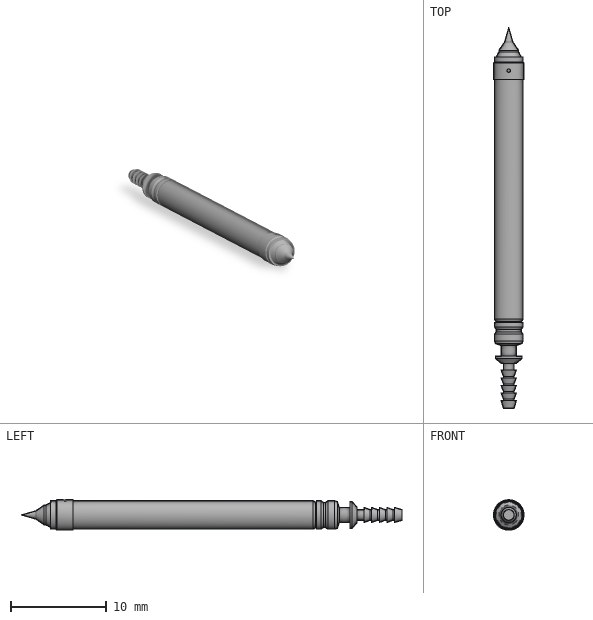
import cadquery as cq


length = 40.0
tip_y = length / 2
tail_y = -length / 2

needle_radius = 0.45
needle_end_y = 18.5
cone_radius = 1.05
cone_end_y = 17.6
land_length = 0.15
shoulder_radius = 1.3
body_front_y = 16.9

collar_radius = 1.6
collar_step = 0.1
body_radius = collar_radius - collar_step
collar_front_y = 16.3
collar_back_y = 14.55

dimple_y = 15.5
dimple_diameter = 0.35
dimple_depth = 0.2

narrow_groove_front_y = -10.65
narrow_groove_back_y = -11.0
narrow_groove_radius = 1.35
narrow_groove_floor = 0.1
wide_groove_front_y = -11.5
wide_groove_back_y = -12.2
wide_groove_radius = 1.3
wide_groove_slope = 0.25
rear_taper_y = -12.9
rear_taper_length = 0.3
rear_taper_radius = 1.4
body_back_y = -13.4

stem_radius = 0.8
flange_radius = 1.4
flange_front_y = -14.5
flange_rim_length = 0.25
flange_back_y = -15.3
neck_radius = 0.55

barb_count = 5
barb_radius = 0.8
barb_front_y = -16.0
barb_pitch = 0.8
barb_length = 0.65


def turned(outline):
    """Revolve a closed (radius, y) outline about the Y axis."""
    return outline.close().revolve(360, (0, 0, 0), (0, 1, 0))


def make_point_and_body():
    outline = (
        cq.Workplane("XY")
        .moveTo(0, tip_y)
        .lineTo(needle_radius, needle_end_y)
        .lineTo(cone_radius, cone_end_y)
        .lineTo(cone_radius, cone_end_y - land_length)
        .lineTo(shoulder_radius, body_front_y)
        .lineTo(body_radius, body_front_y)
        .lineTo(body_radius, collar_front_y + collar_step)
        .lineTo(collar_radius, collar_front_y)
        .lineTo(collar_radius, collar_back_y)
        .lineTo(body_radius, collar_back_y)
        .lineTo(body_radius, narrow_groove_front_y)
        .lineTo(narrow_groove_radius, narrow_groove_back_y + narrow_groove_floor)
        .lineTo(narrow_groove_radius, narrow_groove_back_y)
        .lineTo(body_radius, narrow_groove_back_y)
        .lineTo(body_radius, wide_groove_front_y)
        .lineTo(wide_groove_radius, wide_groove_front_y - wide_groove_slope)
        .lineTo(wide_groove_radius, wide_groove_back_y + wide_groove_slope)
        .lineTo(body_radius, wide_groove_back_y)
        .lineTo(body_radius, rear_taper_y)
        .lineTo(rear_taper_radius, rear_taper_y - rear_taper_length)
        .lineTo(stem_radius, body_back_y)
        .lineTo(0, body_back_y)
    )
    return turned(outline)


def make_stem_and_flange():
    outline = (
        cq.Workplane("XY")
        .moveTo(0, body_back_y)
        .lineTo(stem_radius, body_back_y)
        .lineTo(stem_radius, flange_front_y)
        .lineTo(flange_radius, flange_front_y)
        .lineTo(flange_radius, flange_front_y - flange_rim_length)
        .lineTo(stem_radius, flange_back_y)
        .lineTo(neck_radius, flange_back_y)
        .lineTo(neck_radius, tail_y)
        .lineTo(0, tail_y)
    )
    return turned(outline)


def make_barb(front_y, back_y):
    outline = (
        cq.Workplane("XY")
        .moveTo(0, front_y)
        .lineTo(barb_radius, front_y)
        .lineTo(neck_radius, back_y)
        .lineTo(0, back_y)
    )
    return turned(outline)


def make_dimple():
    return (
        cq.Workplane("XY", origin=(0, dimple_y, collar_radius - dimple_depth))
        .circle(dimple_diameter / 2)
        .extrude(2 * dimple_depth)
    )


result = make_point_and_body().union(make_stem_and_flange())
for index in range(barb_count):
    front_y = barb_front_y - index * barb_pitch
    is_last = index == barb_count - 1
    back_y = tail_y if is_last else front_y - barb_length
    result = result.union(make_barb(front_y, back_y))
result = result.cut(make_dimple())